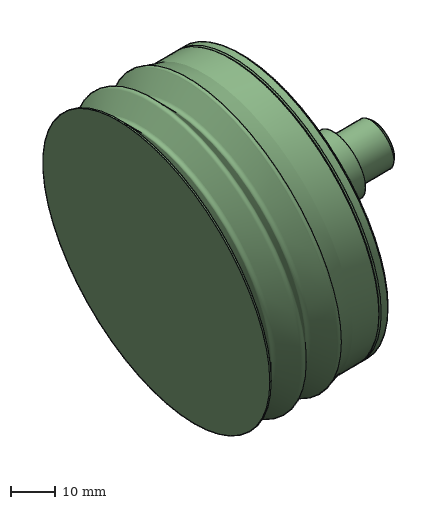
import cadquery as cq

crest_radius = 42.5
root_radius = 37.1
band_radius = 82.0 / 2
rim_radius = 41.85
collar_radius = 18.0 / 2
pin_radius = 13.2 / 2

rim_width = 0.4
groove_pitch = 9.95
first_root = 4.5
second_root = first_root + groove_pitch
middle_crest = 9.5
rear_crest = 19.65
taper_end = 24.5
ring_groove_front = 32.0
ring_groove_width = 0.7
disc_length = 35.05
collar_end = 53.1
overall_length = 64.0

crest_half_width = 0.7
root_half_width = 0.8
round_height = 0.3
rear_crest_half_width = 0.5
rear_crest_rise = 0.2
ring_groove_depth = 0.3
disc_chamfer = 0.5
collar_fillet = 1.9
pin_chamfer = 0.85


def add_root(profile, position):
    """Run the flank down to a groove root and round the bottom."""
    edge_radius = root_radius + round_height
    return (
        profile.lineTo(edge_radius, position - root_half_width)
        .threePointArc((root_radius, position), (edge_radius, position + root_half_width))
    )


def add_crest(profile, position, half_width, rear_rise):
    """Run the flank up to a crest and round the tip."""
    return (
        profile.lineTo(crest_radius - round_height, position - half_width)
        .threePointArc((crest_radius, position), (crest_radius - rear_rise, position + half_width))
    )


def make_disc():
    """Revolve the disc with two V grooves, a tapered shoulder and a plain band."""
    profile = cq.Workplane("XY").lineTo(rim_radius, 0)
    profile = profile.lineTo(rim_radius, rim_width)
    profile = add_root(profile, first_root)
    profile = add_crest(profile, middle_crest, crest_half_width, round_height)
    profile = add_root(profile, second_root)
    profile = add_crest(profile, rear_crest, rear_crest_half_width, rear_crest_rise)
    profile = (
        profile.lineTo(band_radius, taper_end)
        .lineTo(band_radius, disc_length - disc_chamfer)
        .lineTo(band_radius - disc_chamfer, disc_length)
        .lineTo(0, disc_length)
        .close()
    )
    return profile.revolve(360, (0, 0, 0), (0, 1, 0))


def make_ring_groove():
    """Ring of triangular section that leaves a shallow V groove in the band."""
    return (
        cq.Workplane("XY")
        .moveTo(band_radius, ring_groove_front)
        .lineTo(band_radius - ring_groove_depth, ring_groove_front + ring_groove_width / 2)
        .lineTo(band_radius, ring_groove_front + ring_groove_width)
        .close()
        .revolve(360, (0, 0, 0), (0, 1, 0))
    )


def make_shaft():
    """Revolve the filleted collar and the chamfered pin."""
    return (
        cq.Workplane("XY", origin=(0, disc_length, 0))
        .lineTo(collar_radius + collar_fillet, 0)
        .radiusArc((collar_radius, collar_fillet), collar_fillet)
        .lineTo(collar_radius, collar_end - disc_length)
        .lineTo(pin_radius, collar_end - disc_length)
        .lineTo(pin_radius, overall_length - disc_length - pin_chamfer)
        .lineTo(pin_radius - pin_chamfer, overall_length - disc_length)
        .lineTo(0, overall_length - disc_length)
        .close()
        .revolve(360, (0, 0, 0), (0, 1, 0))
    )


result = make_disc().cut(make_ring_groove()).union(make_shaft())